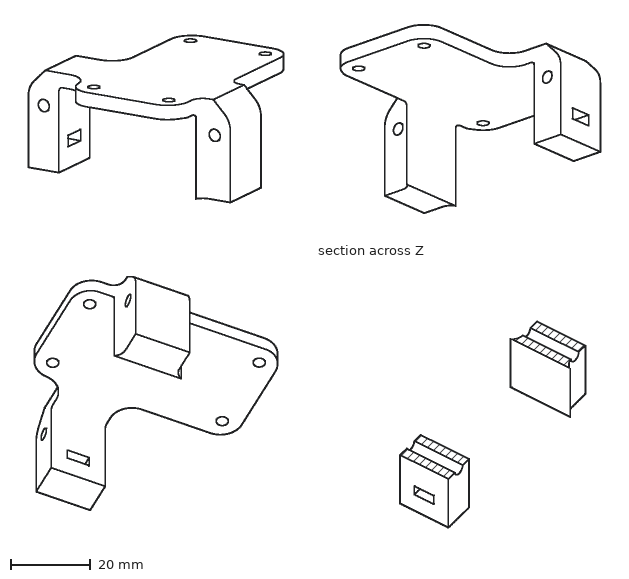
import cadquery as cq
import math

LENGTH = 59.3
HEIGHT = 26.25
ARM_WIDTH = 15.0

PLATE_LEFT = -11.7
PLATE_RIGHT = 20.3
PLATE_BACK = 38.4
PLATE_FRONT = -18.55
PLATE_THICKNESS = 3.8
CORNER_RADIUS = 6.0
LEFT_BLEND_RADIUS = 6.0
RIGHT_BLEND_RADIUS = 3.25
PLATE_HOLE_DIAMETER = 3.0
PLATE_HOLE_INSET = 5.0

LEG_THICKNESS = 9.0
INNER_FILLET = 1.0
SHOULDER_CHAMFER = 5.0
SHOULDER_RADIUS = 6.0
PIN_HOLE_DIAMETER = 3.2
PIN_HOLE_INSET = 4.55
PIN_HOLE_HEIGHT = 16.95
SLOT_WIDTH = 6.05
SLOT_HEIGHT = 2.95
SLOT_CENTER_HEIGHT = 7.2

HALF_LENGTH = LENGTH / 2
HALF_ARM = ARM_WIDTH / 2
DIAGONAL = math.sqrt(0.5)


def arc_point(center, radius, degrees):
    angle = math.radians(degrees)
    return (center[0] + radius * math.cos(angle), center[1] + radius * math.sin(angle))


def plate_outline_body():
    """Cross-shaped plan outline, extruded over the full height."""
    left_corner_x = PLATE_LEFT + CORNER_RADIUS
    right_corner_x = PLATE_RIGHT - CORNER_RADIUS
    back_corner_y = PLATE_BACK - CORNER_RADIUS
    front_corner_y = PLATE_FRONT + CORNER_RADIUS
    left_blend_x = PLATE_LEFT - LEFT_BLEND_RADIUS
    left_blend_y = HALF_ARM + LEFT_BLEND_RADIUS
    right_blend_x = PLATE_RIGHT + RIGHT_BLEND_RADIUS
    right_blend_y = HALF_ARM + RIGHT_BLEND_RADIUS

    corner = (left_corner_x, front_corner_y)
    center_distance = LEFT_BLEND_RADIUS + CORNER_RADIUS
    rise = front_corner_y + left_blend_y
    blend_angle = math.degrees(math.asin(rise / center_distance))
    blend = arc_point(corner, center_distance, 180 + blend_angle)
    junction = arc_point(blend, LEFT_BLEND_RADIUS, blend_angle)
    blend_middle = arc_point(blend, LEFT_BLEND_RADIUS, (90 + blend_angle) / 2)
    corner_middle = arc_point(corner, CORNER_RADIUS, (180 + blend_angle + 270) / 2)

    outline = (
        cq.Workplane("XY")
        .moveTo(-HALF_LENGTH, -HALF_ARM)
        .lineTo(blend[0], -HALF_ARM)
        .threePointArc(blend_middle, junction)
        .threePointArc(corner_middle, (left_corner_x, PLATE_FRONT))
        .lineTo(right_corner_x, PLATE_FRONT)
        .radiusArc((PLATE_RIGHT, front_corner_y), -CORNER_RADIUS)
        .lineTo(PLATE_RIGHT, -right_blend_y)
        .radiusArc((right_blend_x, -HALF_ARM), RIGHT_BLEND_RADIUS)
        .lineTo(HALF_LENGTH, -HALF_ARM)
        .lineTo(HALF_LENGTH, HALF_ARM)
        .lineTo(right_blend_x, HALF_ARM)
        .radiusArc((PLATE_RIGHT, right_blend_y), RIGHT_BLEND_RADIUS)
        .lineTo(PLATE_RIGHT, back_corner_y)
        .radiusArc((right_corner_x, PLATE_BACK), -CORNER_RADIUS)
        .lineTo(left_corner_x, PLATE_BACK)
        .radiusArc((PLATE_LEFT, back_corner_y), -CORNER_RADIUS)
        .lineTo(PLATE_LEFT, left_blend_y)
        .radiusArc((left_blend_x, HALF_ARM), LEFT_BLEND_RADIUS)
        .lineTo(-HALF_LENGTH, HALF_ARM)
        .close()
    )
    return outline.extrude(HEIGHT)


def bridge_profile_body():
    """Bridge section with sloped, rounded shoulders, extruded along Y past the plate ends."""
    span = 2 * max(PLATE_BACK, -PLATE_FRONT) + ARM_WIDTH
    tangent_length = SHOULDER_RADIUS * math.tan(math.radians(22.5))
    slope_step = tangent_length * DIAGONAL
    arc_bottom = HEIGHT - SHOULDER_CHAMFER - tangent_length
    arc_top_x = HALF_LENGTH - slope_step
    arc_top_z = HEIGHT - SHOULDER_CHAMFER + slope_step
    shoulder_x = HALF_LENGTH - SHOULDER_CHAMFER
    inner_x = HALF_LENGTH - LEG_THICKNESS
    underside = HEIGHT - PLATE_THICKNESS

    profile = (
        cq.Workplane("XZ")
        .moveTo(-HALF_LENGTH, 0)
        .lineTo(-HALF_LENGTH, arc_bottom)
        .radiusArc((-arc_top_x, arc_top_z), SHOULDER_RADIUS)
        .lineTo(-shoulder_x, HEIGHT)
        .lineTo(shoulder_x, HEIGHT)
        .lineTo(arc_top_x, arc_top_z)
        .radiusArc((HALF_LENGTH, arc_bottom), SHOULDER_RADIUS)
        .lineTo(HALF_LENGTH, 0)
        .lineTo(inner_x, 0)
        .lineTo(inner_x, underside - INNER_FILLET)
        .radiusArc((inner_x - INNER_FILLET, underside), -INNER_FILLET)
        .lineTo(-inner_x + INNER_FILLET, underside)
        .radiusArc((-inner_x, underside - INNER_FILLET), -INNER_FILLET)
        .lineTo(-inner_x, 0)
        .close()
    )
    return profile.extrude(span / 2, both=True)


def plate_holes():
    points = [
        (x, y)
        for x in (PLATE_LEFT + PLATE_HOLE_INSET, PLATE_RIGHT - PLATE_HOLE_INSET)
        for y in (PLATE_FRONT + PLATE_HOLE_INSET, PLATE_BACK - PLATE_HOLE_INSET)
    ]
    return cq.Workplane("XY").pushPoints(points).circle(PLATE_HOLE_DIAMETER / 2).extrude(HEIGHT)


def pin_holes():
    """Holes along Y through both legs."""
    pin_x = HALF_LENGTH - PIN_HOLE_INSET
    points = [(side * pin_x, PIN_HOLE_HEIGHT) for side in (-1, 1)]
    return cq.Workplane("XZ").pushPoints(points).circle(PIN_HOLE_DIAMETER / 2).extrude(ARM_WIDTH, both=True)


def leg_slot():
    """Rectangular slot through the left leg."""
    slot_x = -HALF_LENGTH + LEG_THICKNESS / 2
    slot = cq.Workplane("XY").box(LEG_THICKNESS, SLOT_WIDTH, SLOT_HEIGHT)
    return slot.translate((slot_x, 0, SLOT_CENTER_HEIGHT))


bracket = plate_outline_body().intersect(bridge_profile_body())
result = bracket.cut(plate_holes()).cut(pin_holes()).cut(leg_slot())